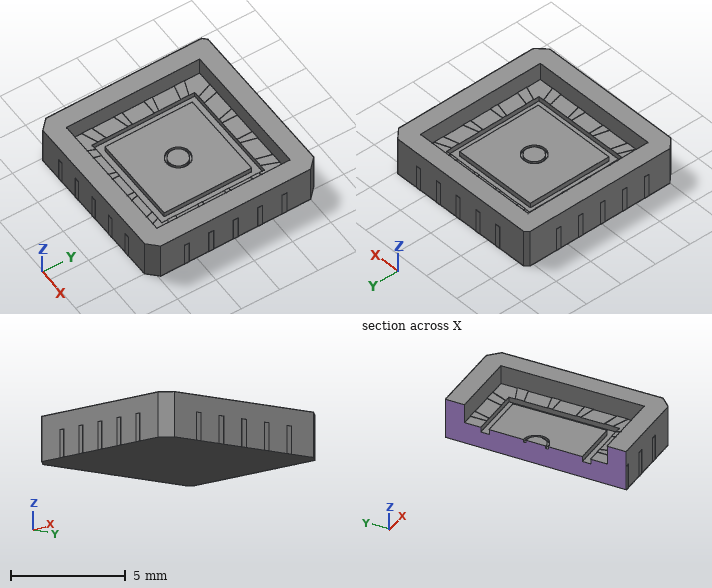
import cadquery as cq

tilt_angle = 0.69
body_side = 8.9
body_height = 2.01
corner_chamfer = 0.5
index_chamfer = 0.2

cavity_side = 7.01
pocket_side = 5.4
shelf_height = 1.08
pocket_floor_height = 0.84

chip_side = 4.6
chip_thickness = 0.25
chip_top = pocket_floor_height + chip_thickness
groove_outer_radius = 0.6
groove_inner_radius = 0.495
groove_depth = 0.13

pad_count = 5
pad_pitch = 1.29
pad_width = 0.26
pad_height = 1.24
pad_thickness = 0.01

strip_thickness = 0.02
inner_strip = ((0.58, 1.02), (0.58, 0.81))
outer_strip = ((2.17, 2.71), (1.96, 2.39))


def square_block(side, bottom, top):
    return cq.Workplane("XY").workplane(offset=bottom).rect(side, side).extrude(top - bottom)


def turned_to_side(shape, side_index):
    return shape.rotate((0, 0, 0), (0, 0, 1), 90 * side_index)


def make_body():
    body = square_block(body_side, 0, body_height)
    body = body.edges("|Z and <X and >Y").chamfer(index_chamfer)
    for corner in ("<X and <Y", ">X and <Y", ">X and >Y"):
        body = body.edges("|Z").edges(corner).chamfer(corner_chamfer)
    body = body.cut(square_block(cavity_side, shelf_height, body_height))
    return body.cut(square_block(pocket_side, pocket_floor_height, shelf_height))


def make_chip():
    chip = square_block(chip_side, pocket_floor_height, chip_top)
    groove = (
        cq.Workplane("XY")
        .workplane(offset=chip_top)
        .circle(groove_outer_radius)
        .circle(groove_inner_radius)
        .extrude(-groove_depth)
    )
    return chip.cut(groove)


def make_pad_row():
    """Pads on the wall facing -Y."""
    return (
        cq.Workplane("XZ", origin=(0, -body_side / 2, pad_height / 2))
        .rarray(pad_pitch, 0.09, pad_count, 1)
        .rect(pad_width, pad_height)
        .extrude(pad_thickness)
    )


def make_strip(edges, direction):
    """One tapered strip on the shelf beside the -Y wall, left or right of the middle."""
    (wall_near, wall_far), (pocket_near, pocket_far) = edges
    wall_y = -cavity_side / 2
    pocket_y = -pocket_side / 2
    corners = [
        (direction * wall_near, wall_y),
        (direction * wall_far, wall_y),
        (direction * pocket_far, pocket_y),
        (direction * pocket_near, pocket_y),
    ]
    shelf = cq.Workplane("XY").workplane(offset=shelf_height)
    return shelf.polyline(corners).close().extrude(strip_thickness)


carrier = make_body().union(make_chip())
for side_index in range(4):
    carrier = carrier.union(turned_to_side(make_pad_row(), side_index))
    for strip_edges in (inner_strip, outer_strip):
        for direction in (-1, 1):
            carrier = carrier.union(turned_to_side(make_strip(strip_edges, direction), side_index))

result = carrier.rotate((0, 0, 0), (0, 0, 1), tilt_angle)